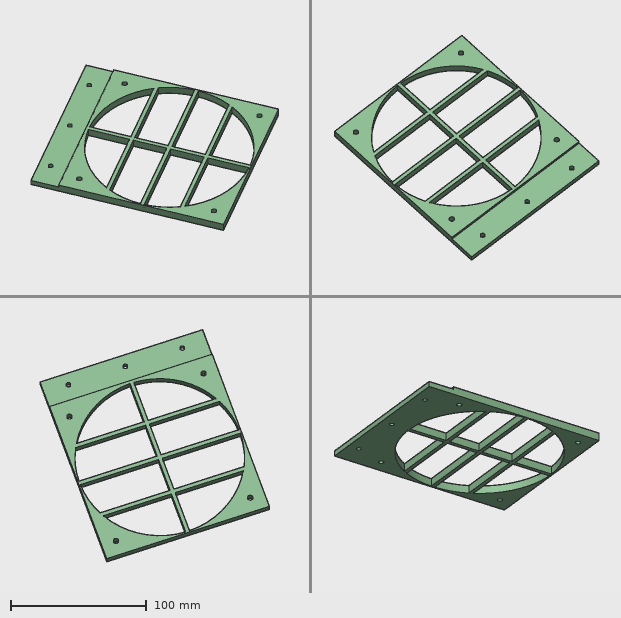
import cadquery as cq

length = 149.86
width = 127.0
thickness = 6.35

flange_length = 21.59
flange_thickness = 4.318
flange_hole_diameter = 3.43
flange_hole_x = 8.89
flange_hole_pitch = 44.45
flange_hole_count = 3

opening_diameter = 125.0
opening_x = 86.28
opening_y = width / 2

bar_width = 3.048
cross_bar_pitch = 28.956
cross_bar_count = 3

corner_hole_diameter = 3.81
corner_hole_pitch = 104.775


def make_plate():
    """Stepped plate: a thin flange followed by the full-thickness part."""
    profile = (
        cq.Workplane("XZ")
        .moveTo(0, 0)
        .lineTo(length, 0)
        .lineTo(length, thickness)
        .lineTo(flange_length, thickness)
        .lineTo(flange_length, flange_thickness)
        .lineTo(0, flange_thickness)
        .close()
    )
    return profile.extrude(-width)


def opening_plane():
    """Workplane on the underside, centred on the round opening."""
    return cq.Workplane("XY", origin=(opening_x, opening_y, 0))


def make_grille_opening():
    """Cutter for the round opening, with the grille bars left standing."""
    disc = opening_plane().circle(opening_diameter / 2).extrude(thickness)
    long_bar = opening_plane().rect(opening_diameter, bar_width).extrude(thickness)
    cross_bars = (
        opening_plane()
        .rarray(cross_bar_pitch, 1, cross_bar_count, 1)
        .rect(bar_width, opening_diameter)
        .extrude(thickness)
    )
    return disc.cut(long_bar).cut(cross_bars)


def make_corner_holes():
    """Cutters for the through holes around the opening."""
    return (
        opening_plane()
        .rarray(corner_hole_pitch, corner_hole_pitch, 2, 2)
        .circle(corner_hole_diameter / 2)
        .extrude(thickness)
    )


def make_flange_holes():
    """Cutters for the row of through holes in the flange."""
    return (
        cq.Workplane("XY", origin=(flange_hole_x, width / 2, 0))
        .rarray(1, flange_hole_pitch, 1, flange_hole_count)
        .circle(flange_hole_diameter / 2)
        .extrude(flange_thickness)
    )


result = (
    make_plate()
    .cut(make_grille_opening())
    .cut(make_corner_holes())
    .cut(make_flange_holes())
)